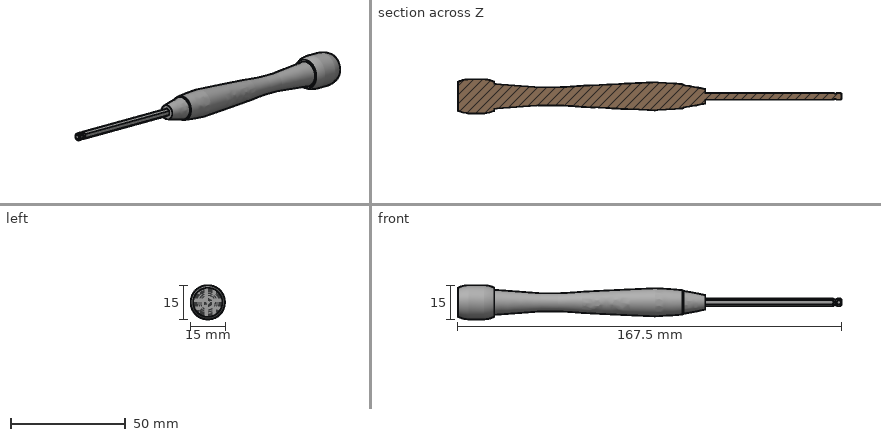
import cadquery as cq
import math

total_length = 167.5
cap_band_start = 4.7
cap_band_end = 11.4
cap_end = 15.9
waist_start = 36.0
waist_end = 43.7
flare_end = 54.3
belly = 86.0
collar_start = 98.0
collar_lip = 0.5
handle_end = 108.0
blade_end = 163.5
ball_start = 165.8
ball_end_band = 166.7

cap_radius = 7.5
cap_end_radius = 6.4
neck_radius = 5.5
waist_radius = 4.0
flare_radius = 4.7
belly_radius = 6.2
shoulder_radius = 5.4
collar_radius = 5.0
nose_radius = 3.2

cap_bulge = 0.3
flare_hollow = -0.08
grip_bulge = 0.03
shoulder_bulge = 0.12
nose_bulge = 0.08
ball_tip_bulge = 0.2

blade_across_flats = 3.0
blade_corner_radius = blade_across_flats / math.sqrt(3)
ball_neck_radius = 1.2
ball_tip_radius = 1.0


def bulged_arc(profile, start, end, bulge):
    """Add an arc from start to end whose middle is offset radially by bulge."""
    middle = ((start[0] + end[0]) / 2, (start[1] + end[1]) / 2 + bulge)
    return profile.threePointArc(middle, end)


def turn(profile):
    """Revolve a closed half-profile about the X axis."""
    return profile.close().revolve(360, (0, 0, 0), (1, 0, 0))


def make_handle():
    cap_face = (0, cap_end_radius)
    band_start = (cap_band_start, cap_radius)
    band_end = (cap_band_end, cap_radius)
    cap_back = (cap_end, cap_end_radius)
    waist_back = (waist_end, waist_radius)
    flare = (flare_end, flare_radius)
    belly_top = (belly, belly_radius)
    shoulder = (collar_start, shoulder_radius)
    collar = (collar_start + collar_lip, collar_radius)
    nose = (handle_end, nose_radius)

    profile = cq.Workplane("XZ").lineTo(*cap_face)
    profile = bulged_arc(profile, cap_face, band_start, cap_bulge)
    profile = profile.lineTo(*band_end)
    profile = bulged_arc(profile, band_end, cap_back, cap_bulge)
    profile = profile.lineTo(cap_end, neck_radius)
    profile = profile.lineTo(waist_start, waist_radius)
    profile = profile.lineTo(*waist_back)
    profile = bulged_arc(profile, waist_back, flare, flare_hollow)
    profile = bulged_arc(profile, flare, belly_top, grip_bulge)
    profile = bulged_arc(profile, belly_top, shoulder, shoulder_bulge)
    profile = profile.lineTo(*collar)
    profile = bulged_arc(profile, collar, nose, nose_bulge)
    return turn(profile.lineTo(handle_end, 0))


def make_blade():
    corners = []
    for i in range(6):
        angle = math.radians(90 + 60 * i)
        corners.append((blade_corner_radius * math.cos(angle), blade_corner_radius * math.sin(angle)))
    hexagon = cq.Workplane("YZ").workplane(offset=belly).polyline(corners).close()
    bar = hexagon.extrude(total_length - belly)

    neck_end = (blade_end + ball_start) / 2
    envelope = (
        cq.Workplane("XZ")
        .moveTo(belly, 0)
        .lineTo(belly, blade_corner_radius)
        .lineTo(blade_end, blade_corner_radius)
        .lineTo(neck_end, ball_neck_radius)
        .lineTo(ball_start, blade_corner_radius)
        .lineTo(ball_end_band, blade_corner_radius)
    )
    band_edge = (ball_end_band, blade_corner_radius)
    tip_edge = (total_length, ball_tip_radius)
    envelope = bulged_arc(envelope, band_edge, tip_edge, ball_tip_bulge).lineTo(total_length, 0)
    return bar.intersect(turn(envelope))


result = make_handle().union(make_blade())